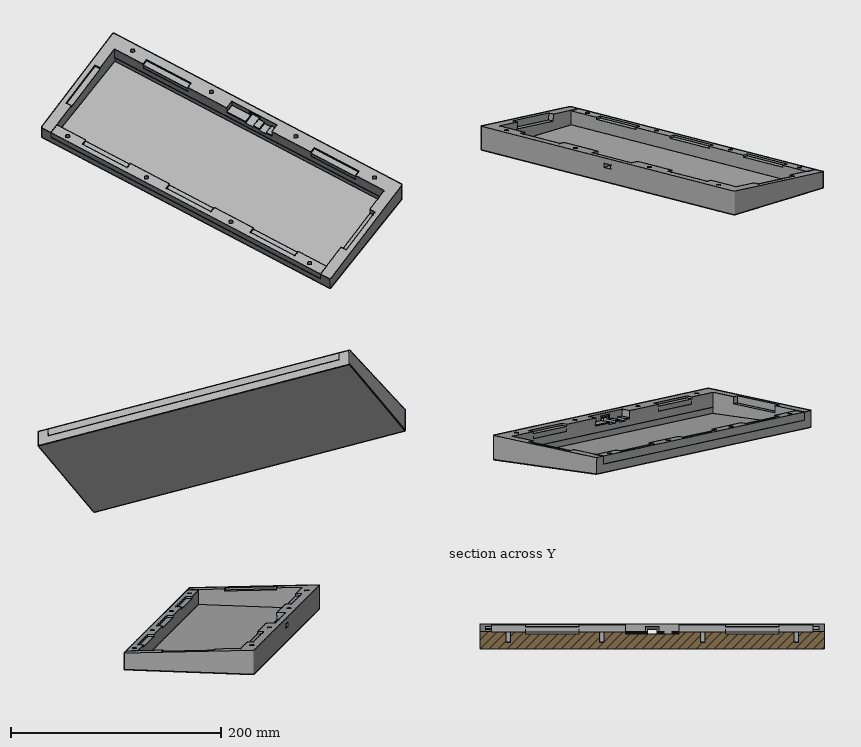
import cadquery as cq
import math

width = 328.0
depth = 126.3
back_height = 24.0
front_height = 16.5
corner_radius = 1.5
bottom_chamfer = 0.5

side_wall = 11.0
front_wall = 10.8
back_wall = 14.8
floor_thickness = 2.5
overlap = 3.3

lip_bottom = 11.5
ledge_height = 8.5
plate_recess_depth = 4.5

notch_length = 50.5
notch_setback = 6.0
notch_pitch = 95.0
notch_depth = 2.0
deep_depth = 7.0

hole_diameter = 4.0
hole_depth = 10.0
outer_hole_x = 137.0
inner_hole_x = 48.0
back_hole_inset = 7.2
front_hole_inset = 5.2

bay_length = 51.2
bay_setback = 9.0
bay_relief_depth = 8.0
groove_depth = 2.3
port_width = 9.0
port_top = 18.5
port_recess_width = 12.8
port_recess_top = 21.3
port_recess_setback = 1.3
side_groove_width = 8.0
side_groove_x = 15.0

front_y = -depth / 2
back_y = depth / 2
cavity_width = width - 2 * side_wall
cavity_front_y = front_y + front_wall
cavity_back_y = back_y - back_wall
cavity_center_y = (cavity_front_y + cavity_back_y) / 2
slope = (back_height - front_height) / depth
lean = (front_height - lip_bottom) * slope
tilt = math.atan(slope)


def box(x_center, x_size, y_min, y_max, z_min, z_max):
    """Upright block, centred on x_center."""
    block = cq.Workplane("XY").box(x_size, y_max - y_min, z_max - z_min, centered=(True, False, False))
    return block.translate((x_center, y_min, z_min))


def tilt_to_top(shape):
    """Carry a shape drawn about a level top (Z = 0, front edge at Y = front_y) onto the sloping top."""
    at_origin = shape.translate((0, -front_y, 0))
    tilted = at_origin.rotate((0, 0, 0), (1, 0, 0), math.degrees(tilt))
    return tilted.translate((0, front_y, front_height))


def top_pocket(x_center, x_size, y_min, y_max, pocket_depth):
    """Cutter that sinks pocket_depth square to the sloping top."""
    return tilt_to_top(box(x_center, x_size, y_min, y_max, -pocket_depth, overlap))


def wedge():
    """Outer body: sloping top, front lip leaning out, rounded upright corners."""
    side_outline = [
        (front_y + lean, 0),
        (front_y + lean, lip_bottom),
        (front_y, front_height),
        (back_y, back_height),
        (back_y, 0),
    ]
    profile = cq.Workplane("YZ").polyline(side_outline).close().extrude(width / 2, both=True)
    footprint = box(0, width, front_y, back_y, 0, back_height).edges("|Z").fillet(corner_radius)
    return profile.intersect(footprint.faces("<Z").edges().chamfer(bottom_chamfer))


def front_bar():
    """Level-topped bar between the side walls, flush with the tip of the front lip."""
    return box(0, cavity_width, front_y, cavity_front_y, ledge_height, front_height)


def cavity():
    """Tray interior: floor pocket slightly undercutting the back wall, leaning rim on top."""
    along_slope = cavity_back_y - front_y
    wall_top = front_height + along_slope * math.sin(tilt) - plate_recess_depth * math.cos(tilt)
    wall_y = front_y + along_slope * math.cos(tilt) + plate_recess_depth * math.sin(tilt)
    floor_pocket = box(0, cavity_width, cavity_front_y, wall_y + lean, floor_thickness, ledge_height)
    upper_wall = box(0, cavity_width, cavity_front_y, wall_y, ledge_height, wall_top)
    leaning_rim = top_pocket(0, cavity_width, cavity_center_y, cavity_back_y, plate_recess_depth)
    above_bar = box(0, cavity_width, front_y - overlap, cavity_center_y, front_height, back_height)
    return floor_pocket.union(upper_wall).union(leaning_rim).union(above_bar)


def notches():
    """Clip notches: two at the back, three in the front bar, one in each side wall."""
    cutters = cq.Workplane("XY")
    back_end = cavity_back_y + notch_setback
    for x in (-notch_pitch, notch_pitch):
        notch = top_pocket(x, notch_length, cavity_center_y, back_end, notch_depth)
        relief = top_pocket(x, notch_length, cavity_center_y, cavity_back_y, deep_depth)
        cutters = cutters.union(notch).union(relief)

    front_end = cavity_front_y - notch_setback
    notch_floor = front_height - notch_depth
    for x in (-notch_pitch, 0, notch_pitch):
        cutters = cutters.union(box(x, notch_length, front_end, cavity_center_y, notch_floor, back_height))

    side_x = cavity_width / 2
    side_start = cavity_center_y - notch_length / 2
    side_end = cavity_center_y + notch_length / 2
    for side, sink in ((-1, notch_depth), (1, deep_depth)):
        cutters = cutters.union(top_pocket(side * side_x, 2 * notch_setback, side_start, side_end, sink))
    return cutters


def connector_bay():
    """Bay in the back wall with two floor grooves and a stepped port through to the outside."""
    bay_end = cavity_back_y + bay_setback
    groove_bottom = deep_depth + groove_depth
    bay = top_pocket(0, bay_length, cavity_center_y, bay_end, deep_depth)
    port_groove = top_pocket(0, port_width, cavity_center_y, bay_end, groove_bottom)
    side_groove = top_pocket(side_groove_x, side_groove_width, cavity_center_y, bay_end, groove_bottom)

    relief = top_pocket(0, bay_length, cavity_center_y, cavity_back_y, bay_relief_depth)

    recess_bottom = front_height + (bay_end - front_y) * slope - deep_depth
    port_bottom = recess_bottom - groove_depth
    recess_end = bay_end + port_recess_setback
    port = box(0, port_width, bay_end, back_y + overlap, port_bottom, port_top)
    recess = box(0, port_recess_width, bay_end, recess_end, recess_bottom, port_recess_top)
    return bay.union(relief).union(port_groove).union(side_groove).union(port).union(recess)


def screw_holes():
    """Blind holes along the back rim, square to the slope, and down into the front bar."""
    cutters = cq.Workplane("XY")
    pin = cq.Workplane("XY").circle(hole_diameter / 2).extrude(-hole_depth)
    for x in (-outer_hole_x, -inner_hole_x, inner_hole_x, outer_hole_x):
        back_hole = tilt_to_top(pin.translate((x, back_y - back_hole_inset, 0)))
        front_hole = pin.translate((x, front_y + front_hole_inset, front_height))
        cutters = cutters.union(back_hole).union(front_hole)
    return cutters


case = wedge().union(front_bar())
result = case.cut(cavity()).cut(notches()).cut(connector_bay()).cut(screw_holes())